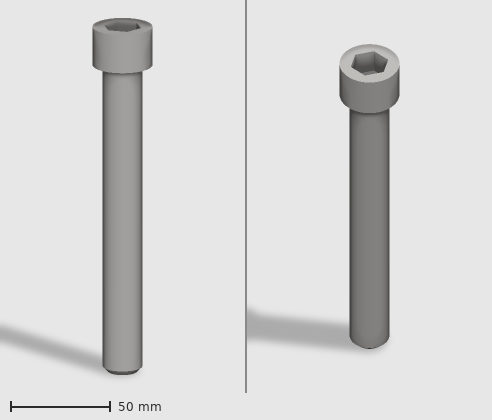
import cadquery as cq
import math

total_length = 180.0
head_diameter = 30.0
head_height = 20.0
shank_diameter = 20.0
tip_chamfer = 2.7
thread_length = 52.0
socket_across_flats = 17.0
socket_depth = 12.6

bottom = -total_length / 2
top = total_length / 2
shank_length = total_length - head_height


def threaded_end():
    """Lower, threaded stretch of the shank, kept smooth with a chamfered tip."""
    blank = cq.Workplane("XY").workplane(offset=bottom).circle(shank_diameter / 2).extrude(thread_length)
    return blank.faces("<Z").chamfer(tip_chamfer)


def plain_shank():
    """Unthreaded stretch between the thread and the head."""
    start = cq.Workplane("XY").workplane(offset=bottom + thread_length)
    return start.circle(shank_diameter / 2).extrude(shank_length - thread_length)


def head():
    """Cylindrical head."""
    start = cq.Workplane("XY").workplane(offset=top - head_height)
    return start.circle(head_diameter / 2).extrude(head_height)


def hex_socket():
    """Hexagonal recess with two opposite corners on the X axis."""
    across_corners = socket_across_flats / math.cos(math.pi / 6)
    return cq.Workplane("XY").workplane(offset=top).polygon(6, across_corners).extrude(-socket_depth)


result = threaded_end().union(plain_shank()).union(head()).cut(hex_socket())